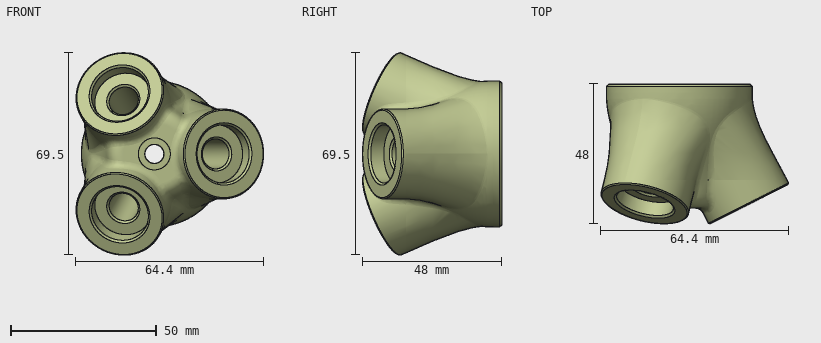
import cadquery as cq
import math

base_radius = 25.1
base_chamfer = 0.8
rim_depth = 3.0

turret_angles = (0, 120, 240)
tilt = 26.7
turret_radius = 15.45
turret_chamfer = 0.4
face_offset = 23.9
face_depth = 41.2
neck_depth = 32.95
blend_sections = 6
root_radius = 22.25
root_offset = 2.7

socket_diameter = 20.0
socket_depth = 5.7
socket_chamfer = 0.7
bore_diameter = 10.3
bore_depth = 22.25
bore_chamfer = 0.7

pad_depth = 42.6
pad_radius = 10.6
core_shoulder_radius = 16.7
core_shoulder_depth = 34.75
hole_diameter = 6.5
counterbore_diameter = 11.0
counterbore_depth = 10.4
crease_fillet = 2.8

slope = math.tan(math.radians(tilt))
lean_sin = math.sin(math.radians(tilt))
lean_cos = math.cos(math.radians(tilt))
neck_offset = face_offset - (face_depth - neck_depth) * slope

face_plane = cq.Plane(
    origin=(face_offset, -face_depth, 0),
    xDir=(0, 0, 1),
    normal=(lean_sin, -lean_cos, 0),
)


def depth_plane(depth, offset=0):
    """Plane parallel to the base, facing -Y, at a depth in front of it."""
    return cq.Plane(origin=(offset, -depth, 0), xDir=(1, 0, 0), normal=(0, -1, 0))


def around_axis(shape, angle):
    return shape.rotate((0, 0, 0), (0, 1, 0), angle)


def blend_section(t):
    """Ellipse between the base rim (t = 0) and the tilted turret (t = 1)."""
    span = neck_depth - rim_depth
    ease = t * t * (3 - 2 * t)
    offset = root_offset + ease * (neck_offset - root_offset) + (t**3 - t**2) * span * slope
    radial = root_radius + ease * (turret_radius / lean_cos - root_radius)
    sideways = root_radius + ease * (turret_radius - root_radius)
    plane = depth_plane(rim_depth + t * span, offset)
    return cq.Workplane(plane).ellipse(radial, sideways).wires().val()


def make_turret():
    sections = [blend_section(i / blend_sections) for i in range(blend_sections + 1)]
    blend = cq.Workplane(cq.Solid.makeLoft(sections))
    below_face = (face_depth - neck_depth) / lean_cos + turret_radius * slope
    tube = cq.Workplane(face_plane).circle(turret_radius).extrude(-below_face)
    outer_face = cq.selectors.DirectionMinMaxSelector(face_plane.zDir, True)
    tube = tube.faces(outer_face).chamfer(turret_chamfer)
    cover_size = 4 * base_radius
    in_front_of_neck = cq.Workplane(depth_plane(neck_depth)).rect(cover_size, cover_size).extrude(cover_size)
    return blend.union(tube.intersect(in_front_of_neck))


def make_base():
    disc = cq.Workplane(depth_plane(0)).circle(base_radius).extrude(rim_depth)
    return disc.faces(">Y").chamfer(base_chamfer)


def make_core():
    return (
        cq.Workplane("XY")
        .moveTo(0, -rim_depth)
        .lineTo(base_radius, -rim_depth)
        .spline(
            [(core_shoulder_radius, -core_shoulder_depth), (pad_radius, -pad_depth)],
            tangents=[(0, -1), (-1, 0)],
            includeCurrent=True,
        )
        .lineTo(0, -pad_depth)
        .close()
        .revolve(360, (0, 0, 0), (0, 1, 0))
    )


def bevelled_hole(diameter, depth, bevel):
    """Half-profile revolved about Z: a hole from Z = 0 downwards with a bevelled mouth."""
    radius = diameter / 2
    outline = [(0, 0), (radius + bevel, 0), (radius, -bevel), (radius, -depth), (0, -depth)]
    return cq.Workplane("XZ").polyline(outline).close().revolve(360, (0, 0, 0), (0, 1, 0))


def make_turret_bore():
    socket = bevelled_hole(socket_diameter, socket_depth, socket_chamfer)
    bore = bevelled_hole(bore_diameter, bore_depth, bore_chamfer).translate((0, 0, -socket_depth))
    return socket.union(bore).val().located(cq.Location(face_plane))


def make_center_hole():
    hole = cq.Workplane(depth_plane(0)).circle(hole_diameter / 2).extrude(pad_depth)
    counterbore = cq.Workplane(depth_plane(pad_depth)).circle(counterbore_diameter / 2)
    return hole.union(counterbore.extrude(-counterbore_depth))


turret = make_turret()
turret_bore = cq.Workplane(make_turret_bore())

body = make_base().union(make_core())
for angle in turret_angles:
    body = body.union(around_axis(turret, angle))

pad_face = cq.selectors.NearestToPointSelector((0, -pad_depth, 0))
body = body.faces(pad_face).edges("not %CIRCLE").fillet(crease_fillet)

for angle in turret_angles:
    body = body.cut(around_axis(turret_bore, angle))
result = body.cut(make_center_hole())